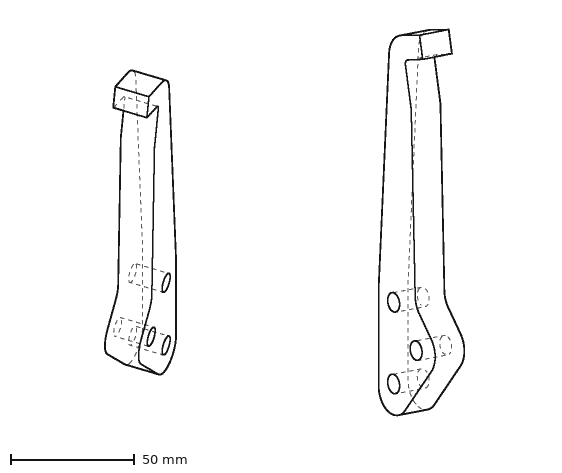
import cadquery as cq
import math

thickness = 15.0
depth = 37.7
height = 162.3

corner_radius = 10.0
hole_diameter = 8.0
back_hole_depth = 10.0
nose_hole_depth = 25.0
lowest_hole_height = 13.0
nose_height = 30.0
back_edge_top = 51.0

neck_depth = 24.5
knee_depth = 21.7
knee_height = 130.2
back_corner_depth = 7.5

tip_depth = 27.3
hook_width = 9.9
hook_tilt = math.radians(12.2)
knee_to_hook = 20.1
inner_hook_radius = 2.0


def point(depth_from_back, level):
    """Profile point in the YZ plane, with depth measured toward -Y."""
    return (-depth_from_back, level)


nose_depth = depth - corner_radius
foot_run = nose_depth - corner_radius
foot_rise = nose_height - corner_radius
foot_slope = foot_rise / foot_run
foot_edge_length = math.hypot(foot_run, foot_rise)
normal_run = foot_rise / foot_edge_length
normal_rise = foot_run / foot_edge_length
tangent_run = corner_radius * normal_run
tangent_rise = corner_radius * normal_rise
nose_tangent_depth = nose_depth + tangent_run
neck_height = nose_height + tangent_rise + (nose_tangent_depth - neck_depth) * foot_slope

inner_corner_depth = knee_depth - knee_to_hook * math.sin(hook_tilt)
inner_corner_height = knee_height + knee_to_hook * math.cos(hook_tilt)
tip_bottom_depth = tip_depth + hook_width * math.sin(hook_tilt)
tip_bottom_height = height - hook_width * math.cos(hook_tilt)
back_corner_height = height - (tip_depth - back_corner_depth) * math.tan(hook_tilt)

diagonal = math.sqrt(0.5) * corner_radius
profile = (
    cq.Workplane("YZ")
    .moveTo(*point(0, corner_radius))
    .threePointArc(
        point(corner_radius - diagonal, corner_radius - diagonal),
        point(corner_radius + tangent_run, corner_radius - tangent_rise),
    )
    .lineTo(*point(nose_tangent_depth, nose_height - tangent_rise))
    .threePointArc(point(depth, nose_height), point(nose_tangent_depth, nose_height + tangent_rise))
    .lineTo(*point(neck_depth, neck_height))
    .lineTo(*point(knee_depth, knee_height))
    .lineTo(*point(inner_corner_depth, inner_corner_height))
    .lineTo(*point(tip_bottom_depth, tip_bottom_height))
    .lineTo(*point(tip_depth, height))
    .lineTo(*point(back_corner_depth, back_corner_height))
    .lineTo(*point(0, back_edge_top))
    .close()
)
plate = profile.extrude(thickness / 2, both=True)


def round_corner(body, corner, radius):
    """Round the through-thickness edge nearest to a profile corner."""
    return body.edges("|X").edges(cq.NearestToPointSelector((0, *corner))).fillet(radius)


plate = round_corner(plate, point(neck_depth, neck_height), corner_radius)
plate = round_corner(plate, point(back_corner_depth, back_corner_height), corner_radius)
plate = round_corner(plate, point(inner_corner_depth, inner_corner_height), inner_hook_radius)

highest_hole_height = 2 * nose_height - lowest_hole_height
hole_centers = [
    point(back_hole_depth, lowest_hole_height),
    point(nose_hole_depth, nose_height),
    point(back_hole_depth, highest_hole_height),
]
holes = (
    cq.Workplane("YZ")
    .pushPoints(hole_centers)
    .circle(hole_diameter / 2)
    .extrude(thickness, both=True)
)
result = plate.cut(holes)